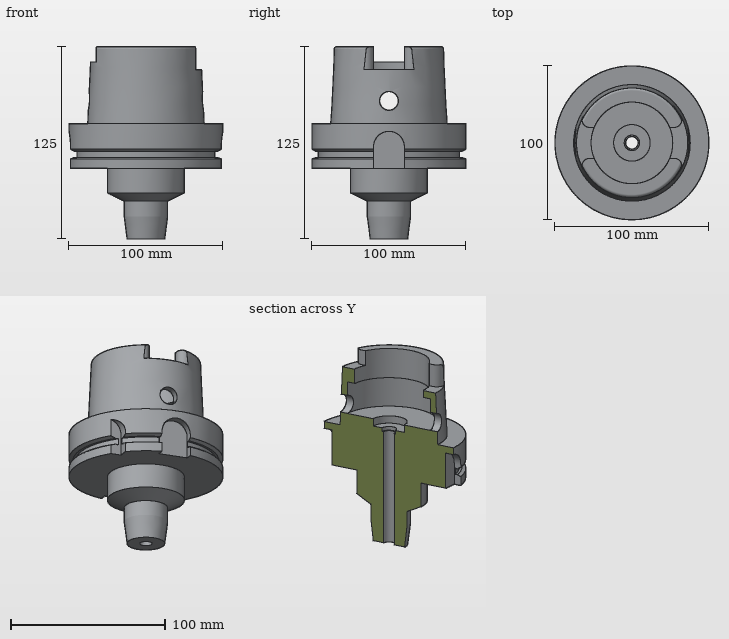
import cadquery as cq
import math

NOSE_TAPER_TOP = 14.6
NOSE_TOP = 24.6
COLLAR_BOTTOM = 30.0
FLANGE_BOTTOM = 46.0
FLANGE_TOP = 75.0
TOP = 125.0

NOSE_TIP_RADIUS = 12.2
NOSE_RADIUS = 14.1
COLLAR_RADIUS = 25.0
FLANGE_RADIUS = 50.0
SHANK_BASE_RADIUS = 37.9
SHANK_TOP_RADIUS = 35.5
RIM_FILLET = 1.9

GROOVE_RADIUS = 45.9
GROOVE_BOTTOM = 53.0
GROOVE_TOP = 57.0
GROOVE_LOWER_CHAMFER_HEIGHT = 0.9
GROOVE_UPPER_CHAMFER_HEIGHT = 1.4
GROOVE_CHAMFER_DEPTH = 2.5

BORE_RADIUS = 26.5
UNDERCUT_TOP = 105.0
UNDERCUT_RADIUS = 31.8
BORE_FLOOR = 83.8
RECESS_RADIUS = 11.9
RECESS_DEPTH = 5.0
PASSAGE_RADIUS = 4.0
PASSAGE_ENTRY_RADIUS = 5.0
PASSAGE_ENTRY_DEPTH = 2.5

CROSS_HOLE_RADIUS = 6.0
CROSS_HOLE_HEIGHT = 89.8

KEYWAY_HALF_WIDTH = 10.0
KEYWAY_SHOULDER_X = 32.4
KEYWAY_CORNER_RADIUS = 5.0
KEYWAY_FLOOR_LEFT = 115.0
KEYWAY_FLOOR_RIGHT = 110.0

SLOT_RADIUS = 10.0
SLOT_TOP = 70.0
SLOT_FLOOR_X = 44.0
NOTCH_FLOOR_X = 31.6
NOTCH_SIDE_Y = 31.5


def make_body():
    shank = (
        cq.Workplane("XZ")
        .moveTo(0, FLANGE_BOTTOM)
        .lineTo(SHANK_BASE_RADIUS, FLANGE_BOTTOM)
        .lineTo(SHANK_BASE_RADIUS, FLANGE_TOP)
        .lineTo(SHANK_TOP_RADIUS, TOP)
        .lineTo(0, TOP)
        .close()
        .revolve(360, (0, 0, 0), (0, 1, 0))
        .faces(">Z")
        .edges()
        .fillet(RIM_FILLET)
    )
    chamfer_radius = FLANGE_RADIUS - GROOVE_CHAMFER_DEPTH
    lower_profile = [
        (0, 0),
        (NOSE_TIP_RADIUS, 0),
        (NOSE_RADIUS, NOSE_TAPER_TOP),
        (NOSE_RADIUS, NOSE_TOP),
        (COLLAR_RADIUS, COLLAR_BOTTOM),
        (COLLAR_RADIUS, FLANGE_BOTTOM),
        (FLANGE_RADIUS, FLANGE_BOTTOM),
        (FLANGE_RADIUS, GROOVE_BOTTOM - GROOVE_LOWER_CHAMFER_HEIGHT),
        (chamfer_radius, GROOVE_BOTTOM),
        (GROOVE_RADIUS, GROOVE_BOTTOM),
        (GROOVE_RADIUS, GROOVE_TOP),
        (chamfer_radius, GROOVE_TOP),
        (FLANGE_RADIUS, GROOVE_TOP + GROOVE_UPPER_CHAMFER_HEIGHT),
        (FLANGE_RADIUS, FLANGE_TOP),
        (0, FLANGE_TOP),
    ]
    lower = cq.Workplane("XZ").polyline(lower_profile).close().revolve(360, (0, 0, 0), (0, 1, 0))
    return lower.union(shank)


def make_hollow():
    recess_floor = BORE_FLOOR - RECESS_DEPTH
    profile = [
        (0, 0),
        (PASSAGE_RADIUS, 0),
        (PASSAGE_RADIUS, recess_floor - PASSAGE_ENTRY_DEPTH),
        (PASSAGE_ENTRY_RADIUS, recess_floor - PASSAGE_ENTRY_DEPTH),
        (PASSAGE_ENTRY_RADIUS, recess_floor),
        (RECESS_RADIUS, recess_floor),
        (RECESS_RADIUS, BORE_FLOOR),
        (UNDERCUT_RADIUS, BORE_FLOOR),
        (UNDERCUT_RADIUS, UNDERCUT_TOP),
        (BORE_RADIUS, UNDERCUT_TOP),
        (BORE_RADIUS, TOP),
        (0, TOP),
    ]
    return cq.Workplane("XZ").polyline(profile).close().revolve(360, (0, 0, 0), (0, 1, 0))


def make_cross_hole():
    return (
        cq.Workplane("YZ")
        .center(0, CROSS_HOLE_HEIGHT)
        .circle(CROSS_HOLE_RADIUS)
        .extrude(SHANK_BASE_RADIUS, both=True)
    )


def make_keyway(side, floor):
    """Keyway flaring outward round both corners; side is +1 or -1 along X."""
    flare_start_x = KEYWAY_SHOULDER_X - KEYWAY_CORNER_RADIUS
    flare_end_y = KEYWAY_HALF_WIDTH + KEYWAY_CORNER_RADIUS
    arc_offset = KEYWAY_CORNER_RADIUS * math.sqrt(0.5)
    arc_x = flare_start_x + arc_offset
    arc_y = flare_end_y - arc_offset
    return (
        cq.Workplane("XY", origin=(0, 0, floor))
        .moveTo(0, -KEYWAY_HALF_WIDTH)
        .lineTo(side * flare_start_x, -KEYWAY_HALF_WIDTH)
        .threePointArc((side * arc_x, -arc_y), (side * KEYWAY_SHOULDER_X, -flare_end_y))
        .lineTo(side * KEYWAY_SHOULDER_X, -SHANK_BASE_RADIUS)
        .lineTo(side * SHANK_BASE_RADIUS, -SHANK_BASE_RADIUS)
        .lineTo(side * SHANK_BASE_RADIUS, SHANK_BASE_RADIUS)
        .lineTo(side * KEYWAY_SHOULDER_X, SHANK_BASE_RADIUS)
        .lineTo(side * KEYWAY_SHOULDER_X, flare_end_y)
        .threePointArc((side * arc_x, arc_y), (side * flare_start_x, KEYWAY_HALF_WIDTH))
        .lineTo(0, KEYWAY_HALF_WIDTH)
        .close()
        .extrude(TOP - floor)
    )


def make_flange_slot(side, floor_x, center_y):
    """Round-topped slot, open at the flange bottom and cut inward along X."""
    arch_center = SLOT_TOP - SLOT_RADIUS
    return (
        cq.Workplane("YZ", origin=(side * floor_x, 0, 0))
        .moveTo(center_y - SLOT_RADIUS, FLANGE_BOTTOM)
        .lineTo(center_y - SLOT_RADIUS, arch_center)
        .threePointArc((center_y, SLOT_TOP), (center_y + SLOT_RADIUS, arch_center))
        .lineTo(center_y + SLOT_RADIUS, FLANGE_BOTTOM)
        .close()
        .extrude(side * (FLANGE_RADIUS - floor_x))
    )


result = make_body().cut(make_hollow()).cut(make_cross_hole())
for side, keyway_floor in ((-1, KEYWAY_FLOOR_LEFT), (1, KEYWAY_FLOOR_RIGHT)):
    result = result.cut(make_keyway(side, keyway_floor))
    result = result.cut(make_flange_slot(side, SLOT_FLOOR_X, 0))
result = result.cut(make_flange_slot(-1, NOTCH_FLOOR_X, NOTCH_SIDE_Y + SLOT_RADIUS))